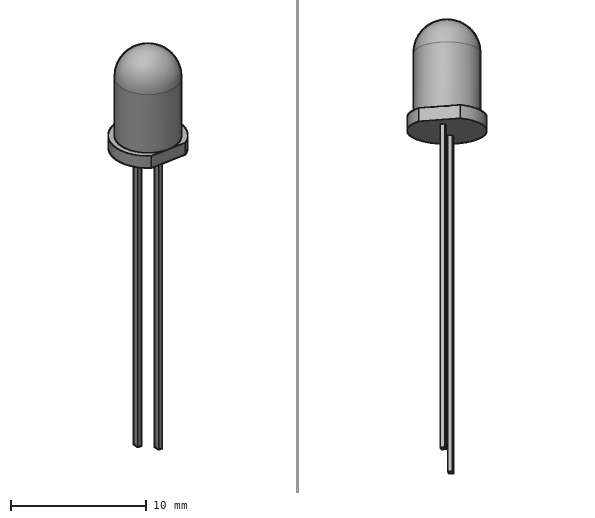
import cadquery as cq

total_height = 34.98
body_diameter = 5.0
flange_diameter = 5.9
flange_height = 1.05
body_height = 8.6
lead_width = 0.52
lead_thickness = 0.35
lead_pitch = 2.55
lead_step = 1.0

body_radius = body_diameter / 2
flange_radius = flange_diameter / 2
dome_base = body_height - body_radius
long_lead_length = total_height - body_height
short_lead_length = long_lead_length - lead_step


def make_body():
    """Revolve the cylinder and its hemispherical dome about Z."""
    dome_mid = body_radius * 0.5 ** 0.5
    return (
        cq.Workplane("XZ")
        .lineTo(body_radius, 0)
        .lineTo(body_radius, dome_base)
        .threePointArc((dome_mid, dome_base + dome_mid), (0, body_height))
        .close()
        .revolve(360, (0, 0), (0, 1))
    )


def make_flange():
    """Round flange with a flat on +X, tangent to the body."""
    flat_x = body_radius
    keep_width = flange_radius + flat_x
    keep = cq.Workplane("XY").center(flat_x - keep_width / 2, 0).rect(
        keep_width, flange_diameter
    ).extrude(flange_height)
    return cq.Workplane("XY").circle(flange_radius).extrude(flange_height).intersect(keep)


def make_lead(x, length):
    """Rectangular lead hanging from the flange underside."""
    return cq.Workplane("XY").center(x, 0).rect(lead_width, lead_thickness).extrude(-length)


result = make_body().union(make_flange())
for x, length in (
    (-lead_pitch / 2, long_lead_length),
    (lead_pitch / 2, short_lead_length),
):
    result = result.union(make_lead(x, length))